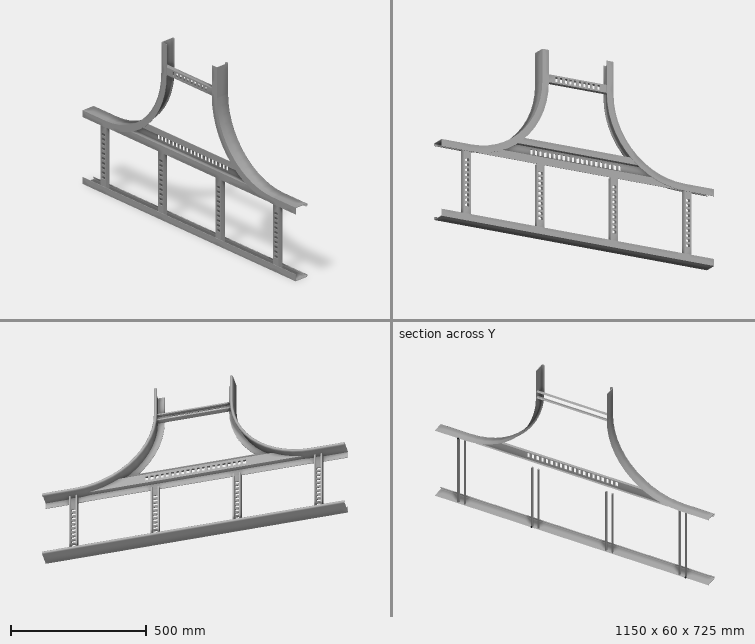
import cadquery as cq
overall_length = 1150.0
tray_width = 300.0
bend_radius = 300.0
sheet = 2.1
rung_sheet = 3.0

rail_depth = 60.0
flange_height = 28.0
lip_radius = 6.0
lip_return = 2.0

rung_width = 31.0
rung_depth = 18.0
rung_lip = 6.0
rung_pitch = 310.0
rung_count = 4
branch_rung_height = 615.0

plate_height = 92.0
plate_strip = 28.0
plate_recess = 41.0
plate_end_gap = 1.0

slot_pitch = 20.0
slot_width = 10.0
slot_length = 18.0
rung_slots = 10
plate_slots = 20

straight_length = (overall_length - tray_width) / 2 - bend_radius
branch_top = tray_width + bend_radius + straight_length
bend_center_x = -(tray_width / 2 + bend_radius)
bend_center_z = tray_width + bend_radius
rung_front = sheet
rung_back = rung_front + rung_depth
plate_bottom = tray_width - flange_height
plate_half_length = (rung_count - 1) * rung_pitch / 2 - rung_width / 2


def box(x_range, y_range, z_range):
    """Box between two limits on each axis."""
    sizes = [high - low for low, high in (x_range, y_range, z_range)]
    corner = (x_range[0], y_range[0], z_range[0])
    return cq.Workplane("XY").box(*sizes, centered=False).translate(corner)


def rail_profile(plane, origin):
    """Rail section: local x is the depth, local y runs from the web towards the flange edge."""
    roll_center = rail_depth - lip_radius
    roll_top = 2 * lip_radius
    return (
        cq.Workplane(cq.Plane(origin, *plane))
        .moveTo(0, flange_height)
        .lineTo(0, 0)
        .lineTo(roll_center, 0)
        .threePointArc((rail_depth, lip_radius), (roll_center, roll_top))
        .line(-lip_return, 0)
        .line(0, -sheet)
        .line(lip_return, 0)
        .threePointArc((rail_depth - sheet, lip_radius), (roll_center, sheet))
        .lineTo(sheet, sheet)
        .lineTo(sheet, flange_height)
        .close()
    )


UP_FLANGE = ((0, 1, 0), (1, 0, 0))
DOWN_FLANGE = ((0, 1, 0), (-1, 0, 0))
INWARD_FLANGE = ((0, 1, 0), (0, 0, -1))


def straight_rail():
    """Rail along the far side of the main run."""
    return rail_profile(UP_FLANGE, (-overall_length / 2, 0, 0)).extrude(overall_length)


def bent_rail():
    """Left rail: a straight end, a quarter bend and a straight end up the branch."""
    main_end = rail_profile(DOWN_FLANGE, (bend_center_x, 0, tray_width)).extrude(straight_length)
    branch_end = rail_profile(INWARD_FLANGE, (-tray_width / 2, 0, branch_top)).extrude(straight_length)
    bend = rail_profile(DOWN_FLANGE, (bend_center_x, 0, tray_width)).revolve(
        90, (0, -bend_radius, 0), (-1, -bend_radius, 0)
    )
    return main_end.union(bend).union(branch_end)


def slot_row(count, y_range, center_z):
    """Cutters for a row of slots along X, centred on X = 0."""
    row = cq.Workplane("XY")
    for index in range(count):
        x = (index - (count - 1) / 2) * slot_pitch
        row = row.add(box(
            (x - slot_width / 2, x + slot_width / 2),
            y_range,
            (center_z - slot_length / 2, center_z + slot_length / 2),
        ))
    return row.combine()


def rung(start, end):
    """Slotted channel along X from start to end, lipped at its open back, centred on Z = 0."""
    half = rung_width / 2
    inner_half = half - rung_sheet
    mouth_half = half - rung_lip
    lip_front = rung_back - rung_sheet
    channel = box((start, end), (rung_front, rung_back), (-half, half))
    hollow = box((start, end), (rung_front + rung_sheet, lip_front), (-inner_half, inner_half))
    mouth = box((start, end), (lip_front, rung_back), (-mouth_half, mouth_half))
    slots = slot_row(rung_slots, (rung_front, rung_back), 0)
    return channel.cut(hollow).cut(mouth).cut(slots)


def main_rung(x, top):
    """Rung that stands on the straight rail and ends at the height top."""
    middle = tray_width / 2
    return rung(sheet - middle, top - middle).rotate((0, 0, 0), (0, 1, 0), -90).translate((x, 0, middle))


def branch_rung():
    """Rung between the webs of the two bent rails."""
    reach = tray_width / 2 - sheet
    return rung(-reach, reach).translate((0, 0, branch_rung_height))


def cross_plate():
    """Wide plate with a set-back slotted middle, its ends trimmed to the bends of the rails."""
    recess_low = plate_bottom + plate_strip
    recess_high = recess_low + plate_recess
    plate_top = plate_bottom + plate_height
    plate = cq.Workplane(cq.Plane((-plate_half_length, 0, 0), *UP_FLANGE)).polyline([
        (rung_front, plate_bottom),
        (rung_front, recess_low + sheet),
        (rung_back - sheet, recess_low + sheet),
        (rung_back - sheet, recess_high - sheet),
        (rung_front, recess_high - sheet),
        (rung_front, plate_top),
        (rung_front + sheet, plate_top),
        (rung_front + sheet, recess_high),
        (rung_back, recess_high),
        (rung_back, recess_low),
        (rung_front + sheet, recess_low),
        (rung_front + sheet, plate_bottom),
    ]).close().extrude(2 * plate_half_length)
    end_radius = bend_radius + sheet + plate_end_gap
    for center_x in (bend_center_x, -bend_center_x):
        bend_space = cq.Workplane("XZ", origin=(center_x, 0, bend_center_z)).circle(end_radius)
        plate = plate.cut(bend_space.extrude(-rail_depth))
    return plate.cut(slot_row(plate_slots, (rung_front, rung_back), (recess_low + recess_high) / 2))


far_rail = straight_rail()
left_rail = bent_rail()
right_rail = left_rail.mirror("YZ")
plate_body = cross_plate()
branch_rung_body = branch_rung()

main_rungs = []
for index in range(rung_count):
    is_outer = index in (0, rung_count - 1)
    rung_top = tray_width - sheet if is_outer else plate_bottom
    rung_x = (index - (rung_count - 1) / 2) * rung_pitch
    main_rungs.append(main_rung(rung_x, rung_top).val())

result = cq.Compound.makeCompound([
    far_rail.val(),
    left_rail.val(),
    right_rail.val(),
    plate_body.val(),
    branch_rung_body.val(),
    *main_rungs,
])